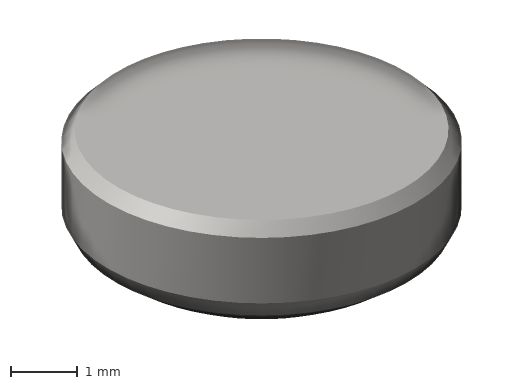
import cadquery as cq
import math

diameter = 6.0
height = 2.6
top_chamfer = 0.2
lower_bevel_width = 0.15
lower_bevel_height = 0.29
dome_height = 0.99

radius = diameter / 2
dome_edge_radius = radius - lower_bevel_width
wall_bottom_z = dome_height + lower_bevel_height

dome_sphere_radius = (dome_edge_radius**2 + dome_height**2) / (2 * dome_height)

half_angle = math.asin(dome_edge_radius / dome_sphere_radius) / 2
dome_middle = (
    dome_sphere_radius * math.sin(half_angle),
    dome_sphere_radius * (1 - math.cos(half_angle)),
)

profile = (
    cq.Workplane("XZ")
    .moveTo(0, 0)
    .threePointArc(dome_middle, (dome_edge_radius, dome_height))
    .lineTo(radius, wall_bottom_z)
    .lineTo(radius, height - top_chamfer)
    .lineTo(radius - top_chamfer, height)
    .lineTo(0, height)
    .close()
)

result = profile.revolve(360, (0, 0), (0, 1))